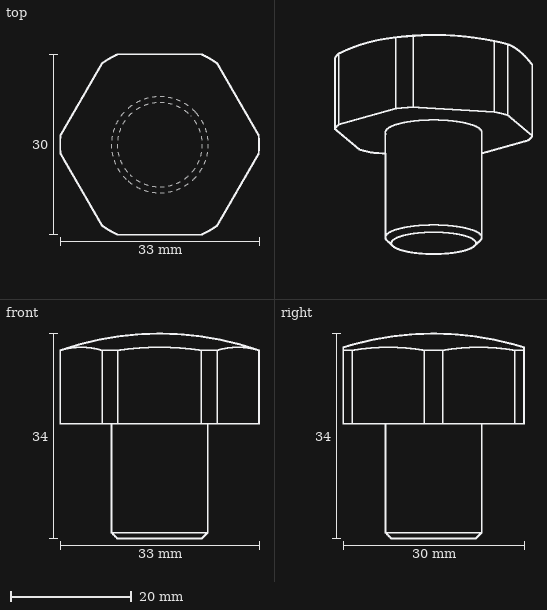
import cadquery as cq
import math

total_height = 34.0
shank_length = 19.0
shank_diameter = 16.0
shank_chamfer = 1.0
across_flats = 30.0
corner_diameter = 33.0
dome_radius = 50.0

head_height = total_height - shank_length
across_corners = across_flats / math.cos(math.radians(30))


def make_head():
    """Hexagonal head with rounded corners and a domed top, seated on Z = 0."""
    hexagon = cq.Workplane("XY").polygon(6, across_corners).extrude(head_height)
    corner_cylinder = cq.Workplane("XY").circle(corner_diameter / 2).extrude(head_height)
    dome = cq.Workplane("XY").sphere(dome_radius).translate((0, 0, head_height - dome_radius))
    return hexagon.intersect(corner_cylinder).intersect(dome)


def make_shank():
    """Plain round shank below the head, chamfered at its free end."""
    shank = cq.Workplane("XY").circle(shank_diameter / 2).extrude(-shank_length)
    return shank.faces("<Z").chamfer(shank_chamfer)


result = make_head().union(make_shank())